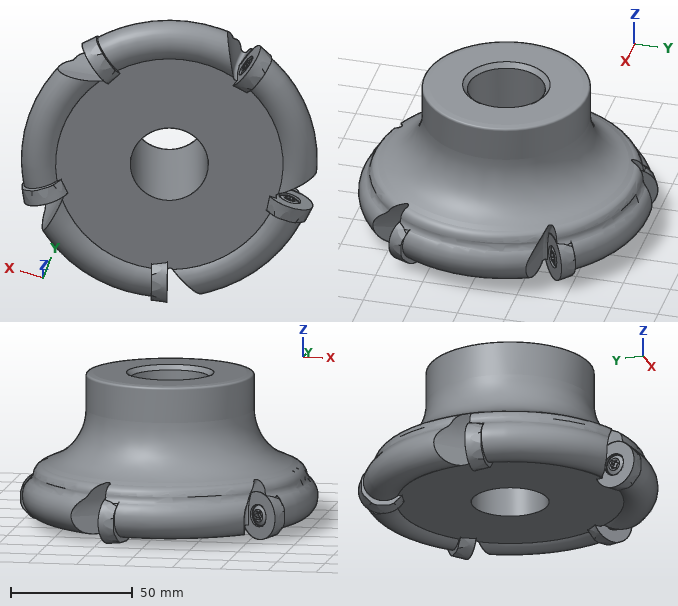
import cadquery as cq
import math

INSERT_COUNT = 5
TOTAL_HEIGHT = 63.0

INSERT_TIP_RADIUS = 124.8 / 2
INSERT_RADIUS = 10.0
INSERT_THICKNESS = 6.5
INSERT_CLEARANCE_ANGLE = 7
INSERT_BACK_RADIUS = INSERT_RADIUS - INSERT_THICKNESS * math.tan(math.radians(INSERT_CLEARANCE_ANGLE))
INSERT_CENTER_RADIUS = INSERT_TIP_RADIUS - INSERT_RADIUS
INSERT_CENTER_Z = INSERT_RADIUS

FLAT_COUNT = 8
FLAT_LENGTH = 4.1
FLAT_ANGLE = 11.5

SCREW_HOLE_DIAMETER = 9.2
HEAD_BASE_DIAMETER = 8.5
HEAD_TOP_DIAMETER = 5.3
GROOVE_DEPTH = 1.0
SOCKET_DEPTH = 1.8
SOCKET_CORE_RADIUS = 1.5
SOCKET_LOBE_RADIUS = 0.5
SOCKET_LOBE_COUNT = 6

RIM_OUTER_RADIUS = 121.6 / 2
RIM_CENTER_RADIUS = INSERT_CENTER_RADIUS
RIM_ROUND = RIM_OUTER_RADIUS - RIM_CENTER_RADIUS
RIM_CENTER_Z = 11.5
UNDERSIDE_Z = 5.3

SHOULDER_RADIUS = 112.5 / 2
SHOULDER_ROUND = 4.9
COVE_ROUND = 4.0
SHOULDER_TOP_RADIUS = 52.7
SHOULDER_TOP_Z = 24.6

HUB_RADIUS = 69.2 / 2
HUB_BOTTOM_Z = 47.9
HUB_EDGE_ROUND = 1.0
HUB_EDGE_DROP = 0.2
HUB_FACE_RADIUS = 63.2 / 2
FLARE_ROUND = 23.4
FLARE_END_RADIUS = 50.5

BORE_RADIUS = 32 / 2
BORE_CHAMFER = 2.0

GULLET_FACE_Y = -0.2
GULLET_BEND_Z = 10.7
GULLET_APEX_RADIUS = 44.4
GULLET_WALL_ANGLE = 45
GULLET_ROOT_ROUND = 1.2
GULLET_RUNOUT_RADIUS = 67.8


def make_body_blank():
    """Turn the cutter body, without gullets, from its half section in (radius, z)."""
    center_distance = RIM_ROUND + COVE_ROUND
    cove_offset = SHOULDER_RADIUS + COVE_ROUND - RIM_CENTER_RADIUS
    cove_rise = math.sqrt(center_distance ** 2 - cove_offset ** 2)
    cove_z = RIM_CENTER_Z + cove_rise
    cove_start = (
        RIM_CENTER_RADIUS + cove_offset * RIM_ROUND / center_distance,
        RIM_CENTER_Z + cove_rise * RIM_ROUND / center_distance,
    )
    underside_half_width = math.sqrt(RIM_ROUND ** 2 - (RIM_CENTER_Z - UNDERSIDE_Z) ** 2)
    flare_center_radius = HUB_RADIUS + FLARE_ROUND
    flare_end_z = HUB_BOTTOM_Z - math.sqrt(FLARE_ROUND ** 2 - (flare_center_radius - FLARE_END_RADIUS) ** 2)
    hub_edge_z = TOTAL_HEIGHT - HUB_EDGE_DROP

    section = (
        cq.Workplane("XZ")
        .moveTo(BORE_RADIUS, UNDERSIDE_Z)
        .lineTo(RIM_CENTER_RADIUS - underside_half_width, UNDERSIDE_Z)
        .threePointArc(
            (RIM_CENTER_RADIUS, RIM_CENTER_Z - RIM_ROUND),
            (RIM_CENTER_RADIUS + underside_half_width, UNDERSIDE_Z),
        )
        .threePointArc((RIM_OUTER_RADIUS, RIM_CENTER_Z), cove_start)
        .radiusArc((SHOULDER_RADIUS, cove_z), COVE_ROUND)
        .radiusArc((SHOULDER_TOP_RADIUS, SHOULDER_TOP_Z), -SHOULDER_ROUND)
        .lineTo(FLARE_END_RADIUS, flare_end_z)
        .radiusArc((HUB_RADIUS, HUB_BOTTOM_Z), FLARE_ROUND)
        .lineTo(HUB_RADIUS, hub_edge_z - HUB_EDGE_ROUND)
        .radiusArc((HUB_RADIUS - HUB_EDGE_ROUND, hub_edge_z), -HUB_EDGE_ROUND)
        .lineTo(HUB_FACE_RADIUS, TOTAL_HEIGHT)
        .lineTo(BORE_RADIUS + BORE_CHAMFER, TOTAL_HEIGHT)
        .lineTo(BORE_RADIUS, TOTAL_HEIGHT - BORE_CHAMFER)
        .close()
    )
    return section.revolve(360, (0, 0, 0), (0, 1, 0))


def make_gullet_plan():
    """Draw the gullet in plan, on the -X side at the height where it starts to curve outward."""
    wall = math.radians(GULLET_WALL_ANGLE)
    tangent_length = GULLET_ROOT_ROUND / math.tan(wall / 2)
    face_tangent = (-GULLET_APEX_RADIUS - tangent_length, GULLET_FACE_Y)
    wall_tangent = (
        -GULLET_APEX_RADIUS - tangent_length * math.cos(wall),
        GULLET_FACE_Y + tangent_length * math.sin(wall),
    )
    wall_end_y = GULLET_FACE_Y + (GULLET_RUNOUT_RADIUS - GULLET_APEX_RADIUS) * math.tan(wall)
    return (
        cq.Workplane("XY", origin=(0, 0, GULLET_BEND_Z))
        .moveTo(-GULLET_RUNOUT_RADIUS, GULLET_FACE_Y)
        .lineTo(*face_tangent)
        .radiusArc(wall_tangent, -GULLET_ROOT_ROUND)
        .lineTo(-GULLET_RUNOUT_RADIUS, wall_end_y)
        .close()
    )


def make_gullet():
    """Run the gullet straight down from the bend height, and curve it outward above."""
    straight = make_gullet_plan().extrude(-GULLET_BEND_Z)
    runout = make_gullet_plan().revolve(90, (-GULLET_RUNOUT_RADIUS, 1.2, 0), (-GULLET_RUNOUT_RADIUS, 0, 0))
    return straight.union(runout)


def make_insert_blank():
    """Make the plain tapered disc of an insert, with its cutting face at Y = 0."""
    section = (
        cq.Workplane("XY", origin=(-INSERT_CENTER_RADIUS, 0, INSERT_CENTER_Z))
        .polyline([
            (0, 0),
            (INSERT_RADIUS, 0),
            (INSERT_BACK_RADIUS, -INSERT_THICKNESS),
            (0, -INSERT_THICKNESS),
        ])
        .close()
    )
    return section.revolve(360, (0, 0, 0), (0, 1, 0))


def make_indexing_flat():
    """Make the wedge that cuts one sloping flat into the -X flank of an insert."""
    top_y = FLAT_LENGTH - INSERT_THICKNESS
    top_radius = INSERT_RADIUS + top_y * math.tan(math.radians(INSERT_CLEARANCE_ANGLE))
    bottom_radius = top_radius - FLAT_LENGTH * math.tan(math.radians(FLAT_ANGLE))
    return (
        cq.Workplane("XY", origin=(-INSERT_CENTER_RADIUS, 0, INSERT_CENTER_Z))
        .polyline([
            (-top_radius, top_y),
            (-bottom_radius, -INSERT_THICKNESS),
            (-top_radius, -INSERT_THICKNESS),
        ])
        .close()
        .extrude(INSERT_RADIUS, both=True)
    )


def make_screw_groove():
    """Make the ring groove that leaves a conical screw head flush with the cutting face."""
    section = (
        cq.Workplane("XY", origin=(-INSERT_CENTER_RADIUS, 0, INSERT_CENTER_Z))
        .polyline([
            (HEAD_TOP_DIAMETER / 2, 0),
            (SCREW_HOLE_DIAMETER / 2, 0),
            (SCREW_HOLE_DIAMETER / 2, -GROOVE_DEPTH),
            (HEAD_BASE_DIAMETER / 2, -GROOVE_DEPTH),
        ])
        .close()
    )
    return section.revolve(360, (0, 0, 0), (0, 1, 0))


def make_screw_socket():
    """Make the six-lobed driver socket of the screw head."""
    face = cq.Workplane("XZ", origin=(-INSERT_CENTER_RADIUS, 0, INSERT_CENTER_Z))
    core = face.circle(SOCKET_CORE_RADIUS).extrude(SOCKET_DEPTH)
    lobes = (
        face.polarArray(SOCKET_CORE_RADIUS, 0, 360, SOCKET_LOBE_COUNT)
        .circle(SOCKET_LOBE_RADIUS)
        .extrude(SOCKET_DEPTH)
    )
    return core.union(lobes)


def make_insert():
    """Make one insert with its indexing flats, screw groove and driver socket."""
    axis_start = (-INSERT_CENTER_RADIUS, 0, INSERT_CENTER_Z)
    axis_end = (-INSERT_CENTER_RADIUS, 1, INSERT_CENTER_Z)
    insert = make_insert_blank()
    flat = make_indexing_flat()
    for index in range(FLAT_COUNT):
        insert = insert.cut(flat.rotate(axis_start, axis_end, index * 360 / FLAT_COUNT))
    return insert.cut(make_screw_groove()).cut(make_screw_socket())


def around_axis(shape, index):
    """Turn a shape to the given insert station."""
    return shape.rotate((0, 0, 0), (0, 0, 1), index * 360 / INSERT_COUNT)


body = make_body_blank()
station_cut = make_gullet().union(make_insert_blank())
for station in range(INSERT_COUNT):
    body = body.cut(around_axis(station_cut, station))

first_insert = make_insert()
inserts = [around_axis(first_insert, station) for station in range(INSERT_COUNT)]

result = cq.Compound.makeCompound([body.val(), *[item.val() for item in inserts]])